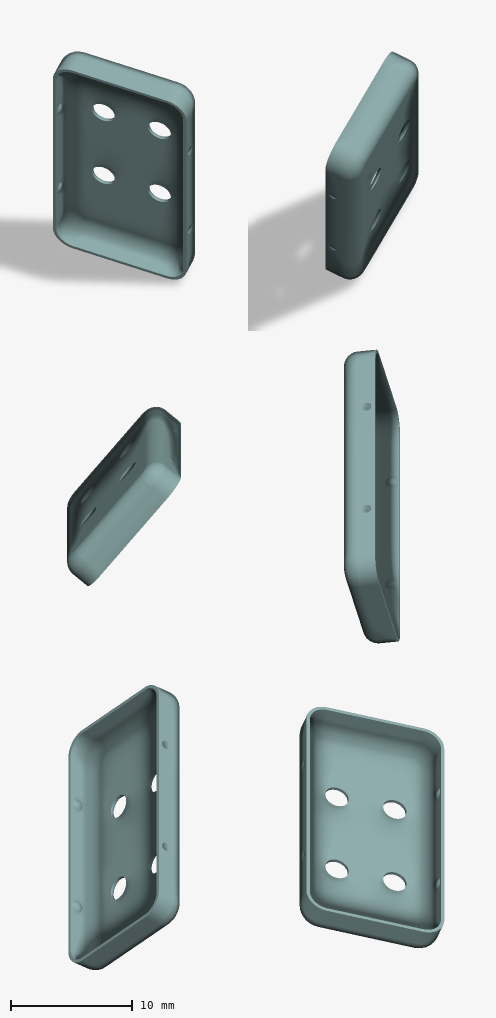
import cadquery as cq
import math

width = 11.9
depth = 2.8
height = 22.6
wall = 0.3
corner_radius = 1.8
back_radius = 1.2
front_y = -depth / 2

hole_diameter = 2.01
hole_spacing_x = 5.0
hole_spacing_z = 8.0

bump_spacing_z = 10.0
bump_from_front = 0.7
bump_height = 0.18
bump_radius = 0.75
dimple_depth = 0.2
dimple_radius = 0.45


def rounded_block(inset):
    """Block set in from the outer shell on all sides but the front, with a rounded back."""
    return (
        cq.Workplane("XZ", origin=(0, front_y, 0))
        .rect(width - 2 * inset, height - 2 * inset)
        .extrude(-(depth - inset))
        .edges("|Y")
        .fillet(corner_radius - inset)
        .faces(">Y")
        .edges()
        .fillet(back_radius - inset)
    )


def back_holes():
    return (
        cq.Workplane("XZ", origin=(0, front_y, 0))
        .rect(hole_spacing_x, hole_spacing_z, forConstruction=True)
        .vertices()
        .circle(hole_diameter / 2)
        .extrude(-depth)
    )


def spherical_cap(cap_height, radius):
    """Cap of a sphere standing on the XY plane, domed toward +Z."""
    rim_radius = math.sqrt(radius**2 - (radius - cap_height) ** 2)
    half_height = cap_height - radius + math.sqrt(radius**2 - (rim_radius / 2) ** 2)
    return (
        cq.Workplane("XZ")
        .moveTo(0, 0)
        .lineTo(rim_radius, 0)
        .threePointArc((rim_radius / 2, half_height), (0, cap_height))
        .close()
        .revolve(360, (0, 0), (0, 1))
    )


def place_on_wall(cap, side, z, inset):
    """Turn a cap to point into the tray and seat it at a depth inside the outer side face."""
    return cap.rotate((0, 0, 0), (0, 1, 0), -side * 90).translate(
        (side * (width / 2 - inset), front_y + bump_from_front, z)
    )


def add_snap_bump(body, side, z):
    """Add a domed bump inside one side wall and the dimple outside it."""
    dome = place_on_wall(spherical_cap(bump_height, bump_radius), side, z, wall)
    dimple = place_on_wall(spherical_cap(dimple_depth, dimple_radius), side, z, 0)
    return body.union(dome).cut(dimple)


cavity = rounded_block(wall)
result = rounded_block(0).cut(cavity).cut(back_holes())

for side in (-1, 1):
    for z in (-bump_spacing_z / 2, bump_spacing_z / 2):
        result = add_snap_bump(result, side, z)